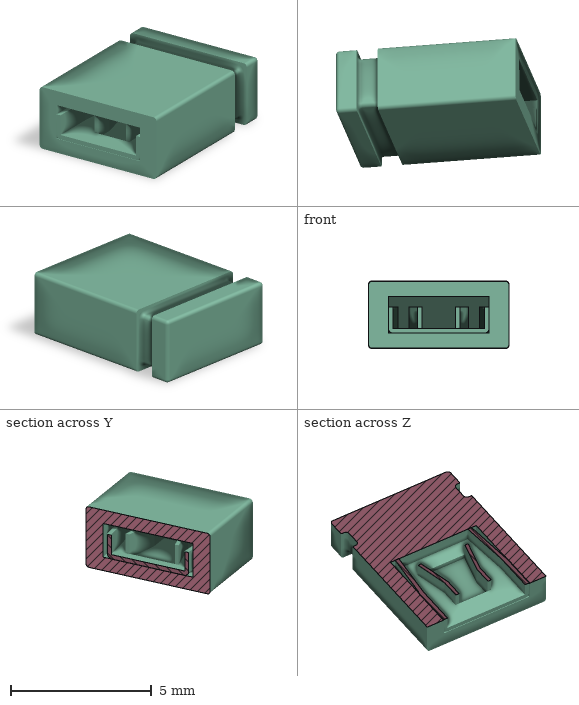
import cadquery as cq
import math


length = 6.5
width = 5.0
height = 2.39
body_length = 4.98
flange_length = 0.76
neck_length = length - body_length - flange_length
neck_inset = 0.255
edge_radius = 0.13

pocket_width = 3.58
pocket_height = 1.3
pocket_floor_z = -pocket_height / 2

sheet = 0.17
clip_front_y = 0.02
clip_outer_x = pocket_width / 2
clip_inner_x = clip_outer_x - sheet
clip_floor_z = pocket_floor_z + sheet
clip_top_z = 0.28
clip_corner_radius = 0.16

bend_y = 1.625
wall_lean = 0.18
wall_lean_angle = 5.4
clip_rear_y = bend_y + wall_lean / math.tan(math.radians(wall_lean_angle))

leaf_front_y = 0.88
leaf_inner_x = 0.6
leaf_thickness = 0.15
leaf_spread_length = 1.3
leaf_spread_angle = 13.6
leaf_spread = leaf_spread_length * math.tan(math.radians(leaf_spread_angle))
leaf_tip_y = bend_y + leaf_spread_length


def block_along_y(size_x, size_z, front_y, rear_y):
    """Block centred on the Y axis, from front_y to rear_y."""
    block = cq.Workplane("XY").box(size_x, rear_y - front_y, size_z, centered=(True, False, True))
    return block.translate((0, front_y, 0))


def plan_prism(points, bottom_z, top_z):
    """Upright prism on a plan outline of (x, y) points."""
    return cq.Workplane("XY").workplane(offset=bottom_z).polyline(points).close().extrude(top_z - bottom_z)


def make_housing():
    """Rounded body, narrower neck and grip flange, with a blind pocket in the front."""
    neck_front_y = body_length
    neck_rear_y = body_length + neck_length

    body = block_along_y(width, height, 0, body_length).edges("|Y").fillet(edge_radius)
    flange = block_along_y(width, height, neck_rear_y, length)
    flange = flange.edges("|Y or >Y").fillet(edge_radius)
    neck = block_along_y(width - 2 * neck_inset, height - 2 * neck_inset, neck_front_y, neck_rear_y)
    neck = neck.edges("|Y").fillet(edge_radius)
    housing = body.union(neck).union(flange)

    around_neck = cq.selectors.BoxSelector(
        (-width / 2 + neck_inset / 2, neck_front_y - neck_inset / 2, -height / 2 + neck_inset / 2),
        (width / 2 - neck_inset / 2, neck_rear_y + neck_inset / 2, height / 2 - neck_inset / 2),
    )
    housing = housing.edges(around_neck).edges("not(|Y)").fillet(edge_radius)

    pocket = block_along_y(pocket_width, pocket_height, 0, clip_rear_y)
    return housing.cut(pocket)


def channel_plan(half_width):
    """Plan outline of the channel at the given half width in front of the bend."""
    right_side = [
        (half_width, clip_front_y),
        (half_width, bend_y),
        (half_width - wall_lean, clip_rear_y),
    ]
    left_side = [(-x, y) for x, y in reversed(right_side)]
    return right_side + left_side


def make_channel():
    """U-shaped channel of bent sheet with rounded lower outer corners."""
    channel = plan_prism(channel_plan(clip_outer_x), pocket_floor_z, clip_top_z)
    channel = channel.faces("<Z").edges("not(|X)").fillet(clip_corner_radius)
    return channel.cut(plan_prism(channel_plan(clip_inner_x), clip_floor_z, clip_top_z))


def leaf_side(x):
    """Plan line of one leaf face, from the leaf front to its tip, that starts at x."""
    return [(x, leaf_front_y), (x, bend_y), (x + leaf_spread, leaf_tip_y)]


def make_clip():
    """Channel with two contact leaves standing beside a window in its floor."""
    inner_side = leaf_side(leaf_inner_x)
    outer_side = leaf_side(leaf_inner_x + leaf_thickness)

    mirrored_inner_side = [(-x, y) for x, y in inner_side]
    window = plan_prism(inner_side + mirrored_inner_side[::-1], pocket_floor_z, clip_floor_z)
    clip = make_channel().cut(window)

    leaf = plan_prism(inner_side + outer_side[::-1], pocket_floor_z, clip_top_z)
    return clip.union(leaf).union(leaf.mirror("YZ"))


housing = make_housing()
clip = make_clip()
result = cq.Compound.makeCompound([housing.solids().val(), clip.solids().val()])